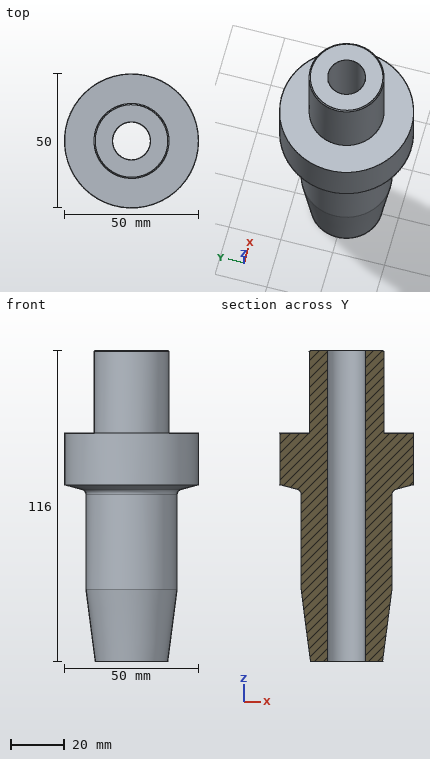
import cadquery as cq
import math

total_height = 116.0
taper_height = 26.8
flange_bottom = 65.9
flange_top = 85.1

flange_diameter = 50.0
body_diameter = 34.0
tip_diameter = 27.0
shank_diameter = 28.0
bore_diameter = 14.0

underside_angle = math.radians(15)
fillet_radius = 2.0
shank_chamfer = 0.5

flange_radius = flange_diameter / 2
body_radius = body_diameter / 2
shank_radius = shank_diameter / 2

fillet_center_radius = body_radius + fillet_radius
cone_inner_radius = fillet_center_radius - fillet_radius * math.sin(underside_angle)
cone_inner_height = flange_bottom - (flange_radius - cone_inner_radius) * math.tan(underside_angle)
fillet_start = cone_inner_height - fillet_radius * math.cos(underside_angle)
fillet_mid_angle = (math.pi / 2 - underside_angle) / 2
fillet_mid = (
    fillet_center_radius - fillet_radius * math.cos(fillet_mid_angle),
    fillet_start + fillet_radius * math.sin(fillet_mid_angle),
)

half_section = (
    cq.Workplane("XZ")
    .moveTo(0, 0)
    .lineTo(tip_diameter / 2, 0)
    .lineTo(body_radius, taper_height)
    .lineTo(body_radius, fillet_start)
    .threePointArc(fillet_mid, (cone_inner_radius, cone_inner_height))
    .lineTo(flange_radius, flange_bottom)
    .lineTo(flange_radius, flange_top)
    .lineTo(shank_radius, flange_top)
    .lineTo(shank_radius, total_height - shank_chamfer)
    .lineTo(shank_radius - shank_chamfer, total_height)
    .lineTo(0, total_height)
    .close()
)
body = half_section.revolve(360, (0, 0, 0), (0, 1, 0))

bore = cq.Workplane("XY").circle(bore_diameter / 2).extrude(total_height)

result = body.cut(bore)